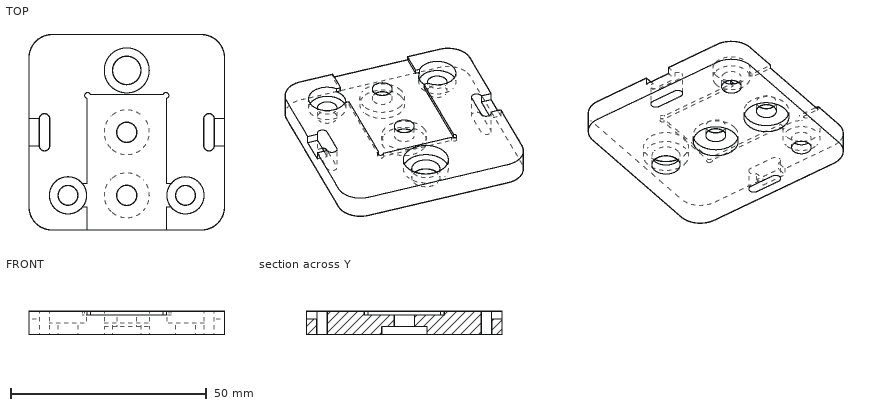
import cadquery as cq

side = 50.0
thickness = 6.0
corner_radius = 6.0

pocket_width = 20.4
pocket_end_y = 9.6
pocket_depth = 1.0
relief_diameter = 1.5
relief_inset = 0.2

upper_hole_y = 15.8
upper_hole_diameter = 7.2
upper_bore_diameter = 11.5
lower_hole_x = 15.0
lower_hole_y = -16.1
lower_hole_diameter = 5.0
lower_bore_diameter = 9.5
bore_depth = 3.0

link_width = 6.0
link_depth = pocket_depth

plain_hole_diameter = 5.1
plain_hole_points = [(0, 0), (0, lower_hole_y)]
underside_bore_diameter = 11.5
underside_bore_depth = 2.0

slot_x = 21.0
slot_length = 9.5
slot_width = 2.6
notch_width = 7.0
notch_depth = 2.0


def box_cut(x_min, x_max, y_min, y_max, depth):
    """Rectangular cutter reaching down from the top face."""
    return (
        cq.Workplane("XY")
        .box(x_max - x_min, y_max - y_min, depth, centered=False)
        .translate((x_min, y_min, thickness - depth))
    )


def round_cut(points, diameter, depth):
    """Round cutters reaching down from the top face."""
    return (
        cq.Workplane("XY", origin=(0, 0, thickness - depth))
        .pushPoints(points)
        .circle(diameter / 2)
        .extrude(depth)
    )


def counterbored_hole(body, x, y, hole_diameter, bore_diameter):
    body = body.cut(round_cut([(x, y)], hole_diameter, thickness))
    return body.cut(round_cut([(x, y)], bore_diameter, bore_depth))


result = (
    cq.Workplane("XY")
    .box(side, side, thickness, centered=(True, True, False))
    .edges("|Z")
    .fillet(corner_radius)
)

half_pocket = pocket_width / 2
relief_x = half_pocket - relief_inset
relief_y = pocket_end_y - relief_inset
relief_points = [(-relief_x, relief_y), (relief_x, relief_y)]
result = result.cut(box_cut(-half_pocket, half_pocket, -side / 2, pocket_end_y, pocket_depth))
result = result.cut(round_cut(relief_points, relief_diameter, pocket_depth))

result = result.cut(
    box_cut(
        -lower_hole_x,
        lower_hole_x,
        lower_hole_y - link_width / 2,
        lower_hole_y + link_width / 2,
        link_depth,
    )
)

result = result.cut(round_cut(plain_hole_points, plain_hole_diameter, thickness))
result = counterbored_hole(result, 0, upper_hole_y, upper_hole_diameter, upper_bore_diameter)
for x in (-lower_hole_x, lower_hole_x):
    result = counterbored_hole(result, x, lower_hole_y, lower_hole_diameter, lower_bore_diameter)

underside_bores = (
    cq.Workplane("XY")
    .pushPoints(plain_hole_points)
    .circle(underside_bore_diameter / 2)
    .extrude(underside_bore_depth)
)
result = result.cut(underside_bores)

slots = (
    cq.Workplane("XY")
    .pushPoints([(-slot_x, 0), (slot_x, 0)])
    .slot2D(slot_length, slot_width, 90)
    .extrude(thickness)
)
result = result.cut(slots)

half_notch = notch_width / 2
result = result.cut(box_cut(-side / 2, -slot_x, -half_notch, half_notch, notch_depth))
result = result.cut(box_cut(slot_x, side / 2, -half_notch, half_notch, notch_depth))